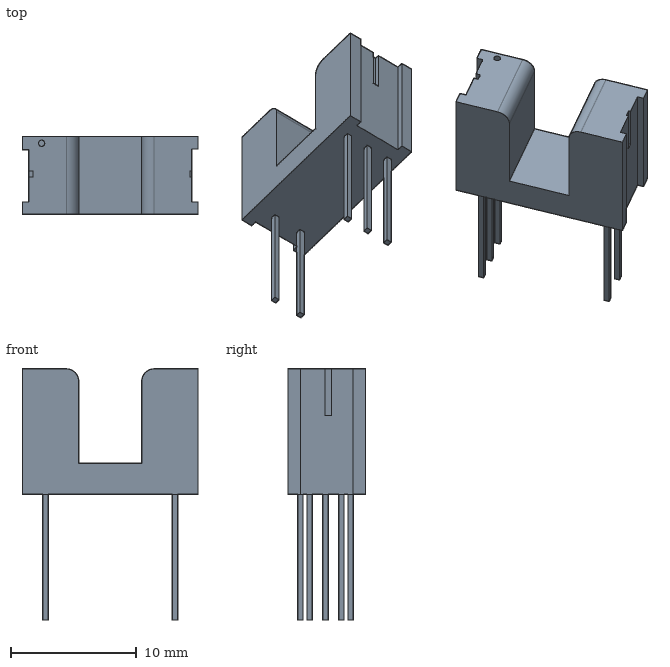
import cadquery as cq

body_length = 14
body_width = 6.2
body_height = 10
gap_width = 5
gap_depth = 7.5
gap_lip_radius = 1

recess_depth = 0.5
rim_width = 1
left_back_rim_width = 1.05

aperture_width = 0.5
aperture_height = 3.7
aperture_y = 0.12
left_aperture_depth = 0.35
right_aperture_depth = 0.15

marker_diameter = 0.5
marker_depth = 0.5
marker_x = -5.45
marker_y = 2.55

lead_size = 0.45
lead_length = 10
lead_row_spacing = 10.3
lead_row_y = -0.1
left_lead_pitch = 2
right_lead_pitch = 2.55


def box_between(x_range, y_range, z_range):
    """Axis-aligned box spanning the given (start, end) ranges."""
    (x0, x1), (y0, y1), (z0, z1) = x_range, y_range, z_range
    return cq.Workplane("XY").box(x1 - x0, y1 - y0, z1 - z0, centered=False).translate((x0, y0, z0))


def make_housing():
    """Block with a central gap whose upper edges are rounded."""
    half_gap = gap_width / 2
    margin = gap_lip_radius / 2
    half_width = body_width / 2
    block = cq.Workplane("XY").box(body_length, body_width, body_height, centered=(True, True, False))
    gap = box_between(
        (-half_gap, half_gap),
        (-half_width, half_width),
        (body_height - gap_depth, body_height),
    )
    lip_edges = cq.selectors.BoxSelector(
        (-half_gap - margin, -half_width, body_height - margin),
        (half_gap + margin, half_width, body_height + margin),
    )
    return block.cut(gap).edges("|Y").edges(lip_edges).fillet(gap_lip_radius)


def make_end_cut(side, back_rim_width, aperture_depth):
    """Recess and aperture slot for one end face; side is -1 (left) or 1 (right)."""
    end_x = side * body_length / 2
    floor_x = end_x - side * recess_depth
    slot_x = floor_x - side * aperture_depth
    recess = box_between(
        sorted((floor_x, end_x)),
        (-body_width / 2 + rim_width, body_width / 2 - back_rim_width),
        (0, body_height),
    )
    aperture = box_between(
        sorted((slot_x, end_x)),
        (aperture_y - aperture_width / 2, aperture_y + aperture_width / 2),
        (body_height - aperture_height, body_height),
    )
    return recess.union(aperture)


def make_marker_hole():
    """Cylinder that cuts the marker hole down from the top face."""
    return (
        cq.Workplane("XY", origin=(marker_x, marker_y, body_height))
        .circle(marker_diameter / 2)
        .extrude(-marker_depth)
    )


def make_lead_row(side, count, pitch):
    """Row of leads along Y, hanging from the underside of one arm."""
    return (
        cq.Workplane("XY", origin=(side * lead_row_spacing / 2, lead_row_y, 0))
        .rarray(0.2, pitch, 1, count)
        .rect(lead_size, lead_size)
        .extrude(-lead_length)
    )


result = (
    make_housing()
    .cut(make_end_cut(-1, left_back_rim_width, left_aperture_depth))
    .cut(make_end_cut(1, rim_width, right_aperture_depth))
    .cut(make_marker_hole())
    .union(make_lead_row(-1, 3, left_lead_pitch))
    .union(make_lead_row(1, 2, right_lead_pitch))
)